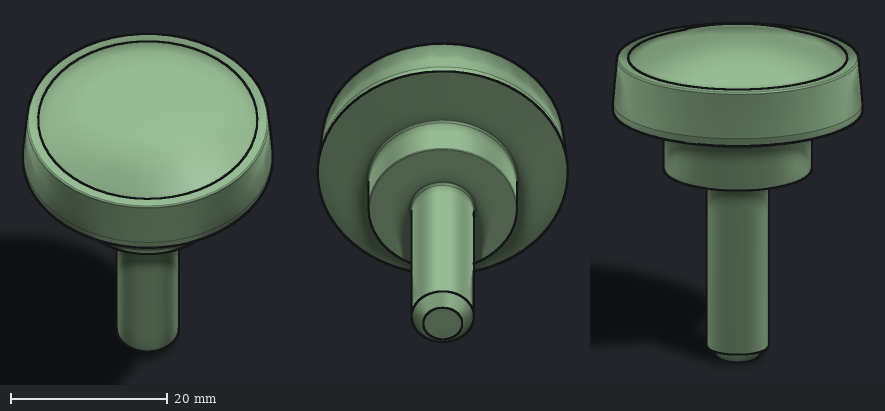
import cadquery as cq

total_height = 43.0
head_radius = 16.0

stem_radius = 4.0
stem_length = 25.05
tip_chamfer = 1.5
stem_root_fillet = 0.3

boss_radius = 9.5
boss_top = 31.0
boss_edge_fillet = 0.15
boss_neck_fillet = 0.3

band_bottom = 33.0
band_top = 34.0
rim_height = 40.0
rim_radius = 15.5
rim_fillet = 0.2
band_fillet = 0.1
dome_radius = 14.0


def dome_sphere_radius(base_radius, rise):
    """Radius of the sphere whose cap has the given base radius and rise."""
    return (base_radius**2 + rise**2) / (2 * rise)


def dome_midpoint(base_radius, rise):
    """Point of the dome arc at half the base radius, as (radius, height)."""
    sphere_radius = dome_sphere_radius(base_radius, rise)
    half = base_radius / 2
    drop = sphere_radius - (sphere_radius**2 - half**2) ** 0.5
    return (half, total_height - drop)


def revolved_body():
    """Whole knob as one revolved half-profile in the XZ plane."""
    profile = (
        cq.Workplane("XZ")
        .lineTo(stem_radius - tip_chamfer, 0)
        .lineTo(stem_radius, tip_chamfer)
        .lineTo(stem_radius, stem_length)
        .lineTo(boss_radius, stem_length)
        .lineTo(boss_radius, boss_top)
        .lineTo(head_radius, band_bottom)
        .lineTo(head_radius, band_top)
        .lineTo(rim_radius, rim_height)
        .lineTo(dome_radius, rim_height)
        .threePointArc(
            dome_midpoint(dome_radius, total_height - rim_height),
            (0, total_height),
        )
        .close()
    )
    return profile.revolve(360, (0, 0, 0), (0, 1, 0))


def round_edge(body, edge_radius, height, fillet_radius):
    """Fillet the circular edge of the given radius at the given height."""
    margin = 0.05
    reach = edge_radius + margin
    edge_box = cq.selectors.BoxSelector(
        (-reach, -reach, height - margin),
        (reach, reach, height + margin),
        boundingbox=True,
    )
    inner = edge_radius - margin
    inner_box = cq.selectors.BoxSelector(
        (-inner, -inner, height - margin),
        (inner, inner, height + margin),
        boundingbox=True,
    )
    return body.edges(edge_box - inner_box).fillet(fillet_radius)


result = revolved_body()
result = round_edge(result, stem_radius, stem_length, stem_root_fillet)
result = round_edge(result, boss_radius, stem_length, boss_edge_fillet)
result = round_edge(result, boss_radius, boss_top, boss_neck_fillet)
result = round_edge(result, rim_radius, rim_height, rim_fillet)
result = round_edge(result, head_radius, band_bottom, band_fillet)